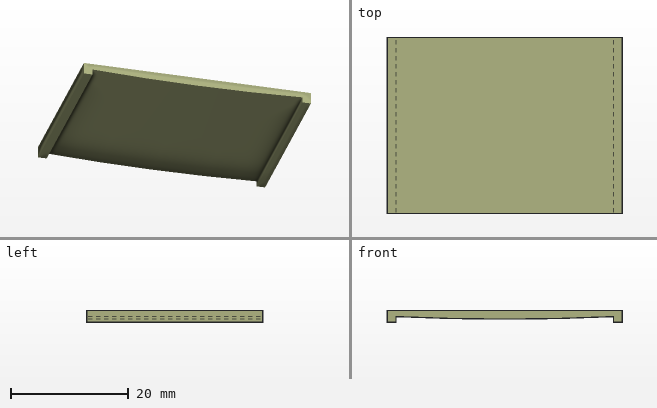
import math

import cadquery as cq

length = 40.0
width = 30.0
height = 2.05

rail_width = 1.5

middle_thickness = 1.5
crown_radius = 400.0

half_length = length / 2
half_span = half_length - rail_width
crown_rise = crown_radius - math.sqrt(crown_radius**2 - half_span**2)
underside_middle = height - middle_thickness
underside_edge = underside_middle + crown_rise


def cover_profile():
    """Cross-section in XZ: flat top, two rails and the crowned underside between them."""
    return (
        cq.Workplane("XZ", origin=(0, width / 2, 0))
        .moveTo(-half_length, height)
        .lineTo(-half_length, 0)
        .lineTo(-half_span, 0)
        .lineTo(-half_span, underside_edge)
        .threePointArc((0, underside_middle), (half_span, underside_edge))
        .lineTo(half_span, 0)
        .lineTo(half_length, 0)
        .lineTo(half_length, height)
        .close()
    )


result = cover_profile().extrude(width)